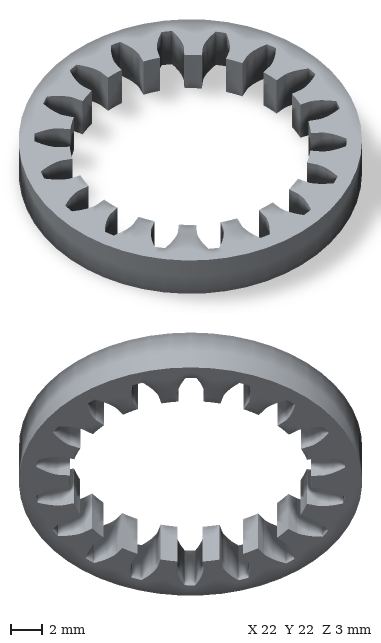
import cadquery as cq
import math

outer_diameter = 22.0
ring_height = 3.0
space_count = 18
rim_modules = 22
pressure_angle = math.radians(20)
dedendum_ratio = 1.25

module = outer_diameter / rim_modules
pitch_radius = module * space_count / 2
base_radius = pitch_radius * math.cos(pressure_angle)
space_floor_radius = pitch_radius + module
bore_radius = pitch_radius - dedendum_ratio * module
space_pitch = 2 * math.pi / space_count

pressure_involute = math.tan(pressure_angle) - pressure_angle
base_half_angle = space_pitch / 4 + pressure_involute
floor_roll = math.sqrt((space_floor_radius / base_radius) ** 2 - 1)
flank_steps = 6


def polar(radius, angle):
    return (radius * math.cos(angle), radius * math.sin(angle))


def flank_point(roll, center_angle, side):
    """Point on the involute flank; side is -1 or +1 about the space center line."""
    radius = base_radius * math.sqrt(1 + roll ** 2)
    half_angle = base_half_angle - (roll - math.atan(roll))
    return polar(radius, center_angle + side * half_angle)


def flank_points(center_angle, side):
    rolls = [floor_roll * step / flank_steps for step in range(flank_steps + 1)]
    return [flank_point(roll, center_angle, side) for roll in rolls]


def bore_outline():
    """Closed outline of the toothed opening, one tooth space after another."""
    outline = cq.Workplane("XY").moveTo(*polar(bore_radius, -base_half_angle))
    for index in range(space_count):
        center_angle = index * space_pitch
        rising = flank_points(center_angle, -1)
        falling = flank_points(center_angle, 1)[::-1]

        outline = outline.lineTo(*rising[0])
        outline = outline.spline(rising[1:], includeCurrent=True)
        outline = outline.threePointArc(polar(space_floor_radius, center_angle), falling[0])
        outline = outline.spline(falling[1:], includeCurrent=True)
        outline = outline.lineTo(*polar(bore_radius, center_angle + base_half_angle))

        tip_middle = polar(bore_radius, center_angle + space_pitch / 2)
        next_wall = polar(bore_radius, center_angle + space_pitch - base_half_angle)
        outline = outline.threePointArc(tip_middle, next_wall)
    return outline.close()


rim = cq.Workplane("XY").circle(outer_diameter / 2).extrude(ring_height)
toothed_opening = bore_outline().extrude(ring_height)
result = rim.cut(toothed_opening)